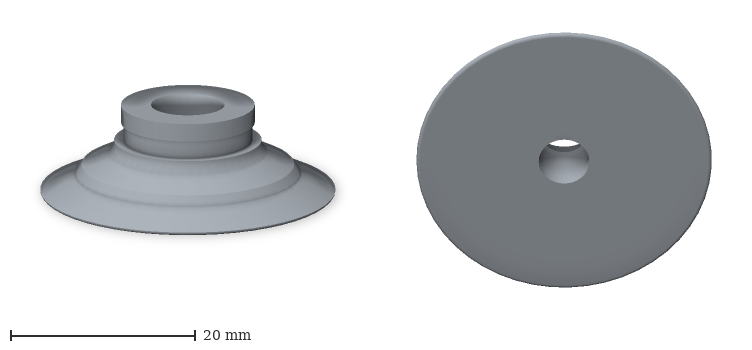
import cadquery as cq
import math

height = 10.0
rim_radius = 16.0

disc_radius = 14.5 / 2
neck_radius = 14.0 / 2
disc_bottom_z = 8.0

collar_radius = 8.0
collar_z = 6.0
collar_lip = 0.1
upper_cone_top_radius = 8.65
upper_cone_top_z = 4.67
upper_cone_bottom_radius = 11.52
upper_cone_bottom_z = 3.23
step_radius = 12.25
step_z = 2.18
rim_round = 0.4

mouth_radius = 4.0
throat_radius = 5.0 / 2
mouth_depth = 3.75
flare_depth = 0.5
flare_width = 0.25


def revolve_about_z(profile):
    """Close a radius-height outline and revolve it about the Z axis."""
    return profile.close().revolve(360, (0, 0, 0), (0, 1, 0))


def cup_body():
    flank_run = upper_cone_top_radius - collar_radius
    flank_drop = collar_z - collar_lip - upper_cone_top_z
    flank_radius = (flank_run**2 + flank_drop**2) / (2 * flank_run)
    half_sweep = math.atan2(flank_run, flank_drop)
    flank_middle = (
        collar_radius + flank_radius * (1 - math.cos(half_sweep)),
        collar_z - collar_lip - flank_radius * math.sin(half_sweep),
    )
    profile = (
        cq.Workplane("XZ")
        .lineTo(rim_radius - rim_round, 0)
        .radiusArc((rim_radius, rim_round), -rim_round)
        .lineTo(step_radius, step_z)
        .lineTo(upper_cone_bottom_radius, upper_cone_bottom_z)
        .lineTo(upper_cone_top_radius, upper_cone_top_z)
        .threePointArc(flank_middle, (collar_radius, collar_z - collar_lip))
        .lineTo(collar_radius, collar_z)
        .lineTo(0, collar_z)
    )
    return revolve_about_z(profile)


def head():
    neck = cq.Workplane("XY").workplane(offset=collar_z).circle(neck_radius).extrude(disc_bottom_z - collar_z)
    disc = cq.Workplane("XY").workplane(offset=disc_bottom_z).circle(disc_radius).extrude(height - disc_bottom_z)
    return neck.union(disc)


def passage():
    profile = (
        cq.Workplane("XZ")
        .lineTo(throat_radius + flare_width, 0)
        .lineTo(throat_radius + flare_width, height - mouth_depth - flare_depth)
        .lineTo(throat_radius, height - mouth_depth)
        .lineTo(mouth_radius, height)
        .lineTo(0, height)
    )
    return revolve_about_z(profile)


result = cup_body().union(head()).cut(passage())